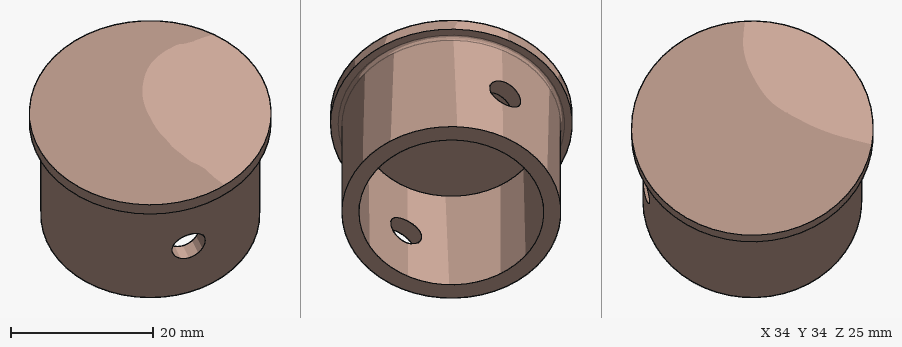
import cadquery as cq
import math

total_height = 25.0
flange_diameter = 34.0
flange_thickness = 2.0
dome_height = 2.95
body_diameter = 30.8
wall_thickness = 2.4
neck_fillet = 0.5
hole_diameter = 5.0
hole_height = 10.0

flange_radius = flange_diameter / 2
body_radius = body_diameter / 2
bore_radius = body_radius - wall_thickness
flange_top = total_height - dome_height
flange_bottom = flange_top - flange_thickness
bore_depth = flange_bottom

dome_radius = (flange_radius**2 + dome_height**2) / (2 * dome_height)
dome_mid_radius = flange_radius / 2
dome_mid_height = total_height - dome_radius + math.sqrt(dome_radius**2 - dome_mid_radius**2)

fillet_inset = neck_fillet * (1 - math.sqrt(0.5))
fillet_mid = (body_radius + fillet_inset, flange_bottom - fillet_inset)


def make_plug():
    """Domed, flanged cap with a filleted neck, revolved about Z."""
    return (
        cq.Workplane("XZ")
        .lineTo(body_radius, 0)
        .lineTo(body_radius, flange_bottom - neck_fillet)
        .threePointArc(fillet_mid, (body_radius + neck_fillet, flange_bottom))
        .lineTo(flange_radius, flange_bottom)
        .lineTo(flange_radius, flange_top)
        .threePointArc((dome_mid_radius, dome_mid_height), (0, total_height))
        .close()
        .revolve(360, (0, 0), (0, 1))
    )


def make_bore():
    """Blind bore from the open bottom up to the underside of the flange."""
    return cq.Workplane("XY").circle(bore_radius).extrude(bore_depth)


def make_cross_hole():
    """Straight hole along X through both sides of the wall."""
    return (
        cq.Workplane("YZ", origin=(0, 0, hole_height))
        .circle(hole_diameter / 2)
        .extrude(body_radius, both=True)
    )


result = make_plug().cut(make_bore()).cut(make_cross_hole())